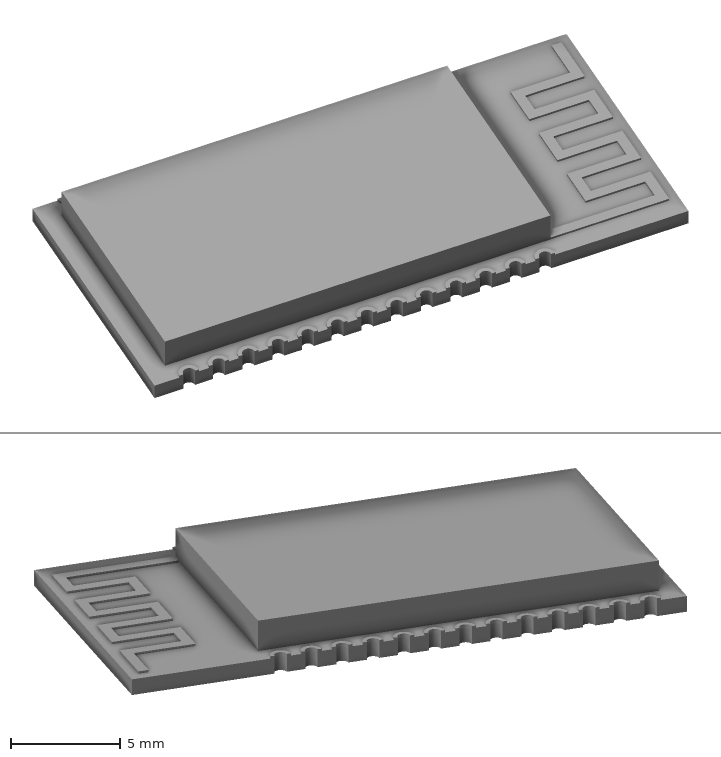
import cadquery as cq

board_length = 27.0
board_width = 13.0
board_thickness = 0.78
total_height = 2.3

can_margin = 1.0
can_length = 19.5

copper_thickness = 0.113
trace_width = can_margin / 2
antenna_leg_count = 7
antenna_leg_gap = 2 * trace_width
antenna_leg_pitch = trace_width + antenna_leg_gap
antenna_leg_length = 3.5

pad_count = 13
pad_row_length = 18.0
pad_row_offset = 1.75
pad_radius = trace_width
pad_hole_radius = 0.3

board_left = -board_width / 2
board_right = board_width / 2
board_front = -board_length / 2
board_back = board_length / 2
can_right = board_right - can_margin
can_back = board_front + can_margin + can_length
pad_pitch = pad_row_length / (pad_count - 1)
pad_centers = [
    (side, board_front + pad_row_offset + i * pad_pitch)
    for side in (board_left, board_right)
    for i in range(pad_count)
]


def block(x_min, x_max, y_min, y_max, z_min, height):
    """Box given by its plan limits, base level and height."""
    return (
        cq.Workplane("XY")
        .box(x_max - x_min, y_max - y_min, height, centered=False)
        .translate((x_min, y_min, z_min))
    )


def make_board():
    return block(board_left, board_right, board_front, board_back, 0, board_thickness)


def make_can():
    return block(
        board_left + can_margin, can_right,
        board_front + can_margin, can_back,
        board_thickness, total_height - board_thickness,
    )


def make_antenna():
    """Meander of straight strips, fed from the back right corner of the can."""
    legs_back = board_back - trace_width
    legs_front = legs_back - antenna_leg_length

    def strip(x_min, x_max, y_min, y_max):
        return block(x_min, x_max, y_min, y_max, board_thickness, copper_thickness)

    antenna = strip(can_right - trace_width, can_right, can_back, legs_back)
    leg_right = can_right
    for leg in range(1, antenna_leg_count):
        previous_right = leg_right
        leg_right = can_right - leg * antenna_leg_pitch
        leg_left = leg_right - trace_width
        antenna = antenna.union(strip(leg_left, leg_right, legs_front, legs_back))
        link_back = legs_back if leg % 2 == 1 else legs_front + trace_width
        antenna = antenna.union(strip(leg_left, previous_right, link_back - trace_width, link_back))

    tail_left = board_left + trace_width
    return antenna.union(strip(tail_left, leg_right, legs_back - trace_width, legs_back))


def make_pads():
    """Copper discs on the board edges, trimmed to the board outline."""
    discs = (
        cq.Workplane("XY", origin=(0, 0, board_thickness))
        .pushPoints(pad_centers)
        .circle(pad_radius)
        .extrude(copper_thickness)
    )
    outline = block(board_left, board_right, board_front, board_back, board_thickness, copper_thickness)
    return discs.intersect(outline)


def make_pad_holes():
    return (
        cq.Workplane("XY")
        .pushPoints(pad_centers)
        .circle(pad_hole_radius)
        .extrude(board_thickness + copper_thickness)
    )


result = make_board().union(make_can()).union(make_antenna()).union(make_pads()).cut(make_pad_holes())